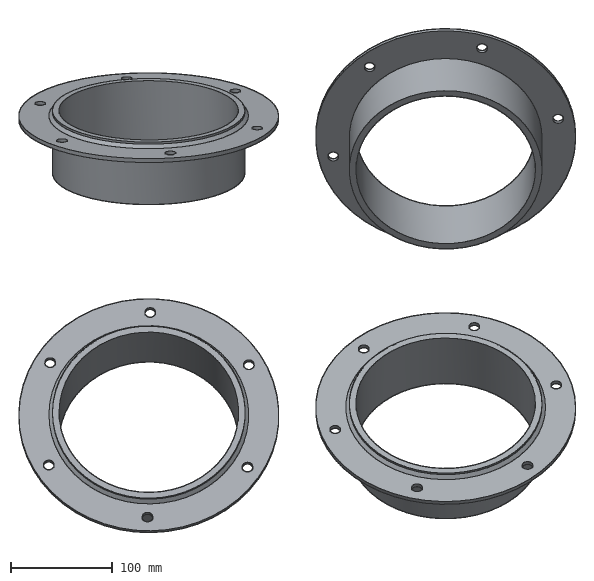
import cadquery as cq

total_height = 65.0
bore_diameter = 176.0
pipe_diameter = 189.0

flange_diameter = 255.0
flange_thickness = 4.0
flange_bottom = 55.3
flange_top = flange_bottom + flange_thickness

bead_diameter = 195.8
bead_height = (bead_diameter - pipe_diameter) / 2

bolt_hole_count = 6
bolt_hole_diameter = 10.5
bolt_circle_diameter = 225.0
first_bolt_angle = 90


def disc(diameter, height, bottom):
    return cq.Workplane("XY").workplane(offset=bottom).circle(diameter / 2).extrude(height)


pipe = disc(pipe_diameter, total_height, 0)
flange = disc(flange_diameter, flange_thickness, flange_bottom)
bead = (
    cq.Workplane("XZ")
    .moveTo(0, flange_top)
    .lineTo(bead_diameter / 2, flange_top)
    .lineTo(pipe_diameter / 2, flange_top + bead_height)
    .lineTo(0, flange_top + bead_height)
    .close()
    .revolve(360, (0, 0), (0, 1))
)
bore = disc(bore_diameter, total_height, 0)

bolt_holes = (
    cq.Workplane("XY")
    .workplane(offset=flange_bottom)
    .polarArray(bolt_circle_diameter / 2, first_bolt_angle, 360, bolt_hole_count)
    .circle(bolt_hole_diameter / 2)
    .extrude(flange_thickness)
)

result = pipe.union(flange).union(bead).cut(bore).cut(bolt_holes)